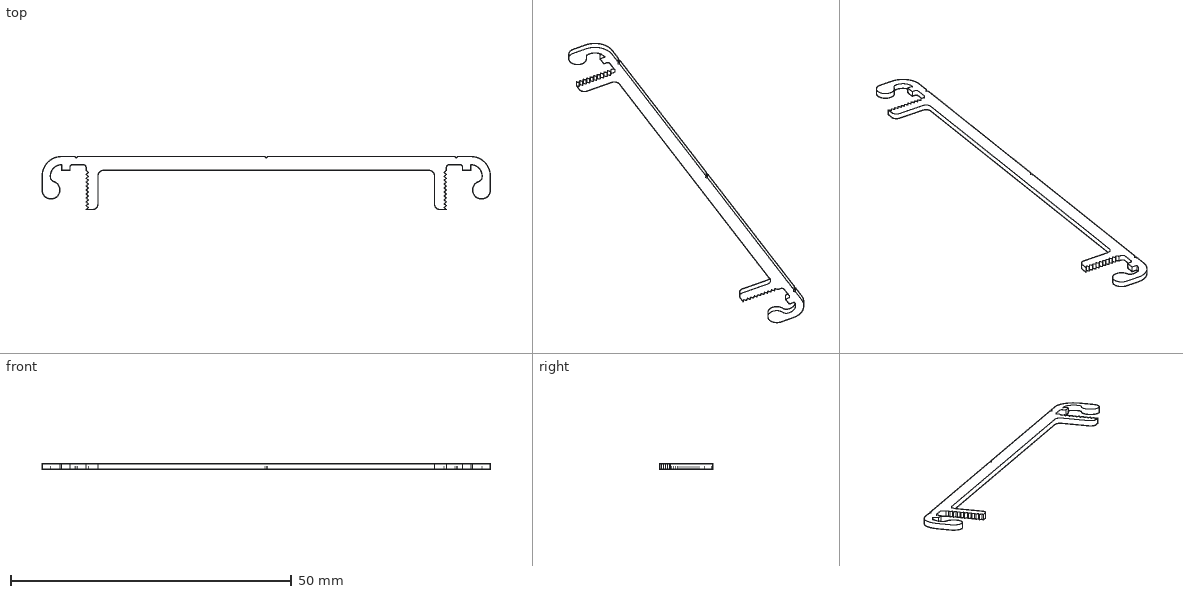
import cadquery as cq
import math

length = 80.0
depth = 9.5
thickness = 1.0
half_length = length / 2

web_wall = 2.5
hook_wall = 1.5

hook_outer_radius = 3.5
hook_inner_radius = hook_outer_radius - hook_wall
hook_centre_x = half_length - hook_outer_radius
bead_radius = 1.6
bead_tip_y = -7.6
bead_x = half_length - bead_radius
bead_y = bead_tip_y + bead_radius
valley_fillet = 0.8

rib_outer_x = hook_centre_x
rib_inner_x = 35.0
rib_fillet = 0.4

leg_inner_x = 30.0
leg_tip_x = 32.15
leg_root_fillet = 1.0
leg_end_fillet = 1.0
pocket_fillet = 0.5
tooth_pitch = 0.7
tooth_count = 10
tooth_height = 0.4
first_tooth_y = -depth + tooth_count * tooth_pitch

groove_positions = (-33.9, 0.0, 33.9)
groove_depth = 0.25
groove_half_width = 0.25

hook_reach = hook_inner_radius - valley_fillet
bead_reach = bead_radius + valley_fillet
centre_dx = bead_x - hook_centre_x
centre_dy = bead_y + hook_outer_radius
centre_gap = math.hypot(centre_dx, centre_dy)
along = (centre_gap**2 + hook_reach**2 - bead_reach**2) / (2 * centre_gap)
across = math.sqrt(hook_reach**2 - along**2)
valley_x = hook_centre_x + (along * centre_dx - across * centre_dy) / centre_gap
valley_y = -hook_outer_radius + (along * centre_dy + across * centre_dx) / centre_gap
hook_tangent_angle = math.degrees(math.atan2(valley_y + hook_outer_radius, valley_x - hook_centre_x))
bead_tangent_angle = math.degrees(math.atan2(valley_y - bead_y, valley_x - bead_x))
valley_middle_angle = (hook_tangent_angle + bead_tangent_angle - 180) / 2


def on_circle(centre_x, centre_y, radius, degrees):
    """Point of a circle at an angle measured from +X."""
    angle = math.radians(degrees)
    return (centre_x + radius * math.cos(angle), centre_y + radius * math.sin(angle))


def rounded_corner(path, corner, start_offset, end_offset, radius):
    """Draw up to a right-angled corner and round it; the offsets point away from the corner."""
    start = (corner[0] + start_offset[0] * radius, corner[1] + start_offset[1] * radius)
    end = (corner[0] + end_offset[0] * radius, corner[1] + end_offset[1] * radius)
    inset = radius * (1 - math.cos(math.radians(45)))
    middle = (
        corner[0] + (start_offset[0] + end_offset[0]) * inset,
        corner[1] + (start_offset[1] + end_offset[1]) * inset,
    )
    return path.lineTo(*start).threePointArc(middle, end)


def serrate(path):
    """Draw the triangular teeth down the outer face of the leg."""
    for index in range(tooth_count):
        tooth_y = first_tooth_y - index * tooth_pitch
        path = path.lineTo(leg_tip_x - tooth_height, tooth_y - tooth_pitch / 2)
        path = path.lineTo(leg_tip_x, tooth_y - tooth_pitch)
    return path


def half_profile():
    """The +X half of the profile, with the top of the web on y = 0."""
    left, right, up, down = (-1, 0), (1, 0), (0, 1), (0, -1)
    path = cq.Workplane("XY").moveTo(0, 0).lineTo(hook_centre_x, 0)

    path = path.threePointArc(
        on_circle(hook_centre_x, -hook_outer_radius, hook_outer_radius, 45),
        (half_length, -hook_outer_radius),
    )
    path = path.lineTo(half_length, bead_y)
    bead_tangent = on_circle(bead_x, bead_y, bead_radius, bead_tangent_angle)
    path = path.threePointArc(on_circle(bead_x, bead_y, bead_radius, 225), bead_tangent)
    path = path.threePointArc(
        on_circle(valley_x, valley_y, valley_fillet, valley_middle_angle),
        on_circle(hook_centre_x, -hook_outer_radius, hook_inner_radius, hook_tangent_angle),
    )
    path = path.threePointArc(
        on_circle(hook_centre_x, -hook_outer_radius, hook_inner_radius, 45),
        (rib_outer_x, -hook_wall),
    )

    path = path.lineTo(rib_outer_x, -web_wall)
    path = path.lineTo(rib_inner_x, -web_wall)
    path = rounded_corner(path, (rib_inner_x, -hook_wall), down, left, rib_fillet)

    path = rounded_corner(path, (leg_tip_x, -hook_wall), right, down, pocket_fillet)
    path = path.lineTo(leg_tip_x, first_tooth_y)
    path = serrate(path)
    path = rounded_corner(path, (leg_inner_x, -depth), right, up, leg_end_fillet)
    path = rounded_corner(path, (leg_inner_x, -web_wall), down, left, leg_root_fillet)
    return path.lineTo(0, -web_wall).close()


def marking_groove(x):
    """Cutter for one V groove in the outer face at position x."""
    return (
        cq.Workplane("XY")
        .moveTo(x - groove_half_width, 0)
        .lineTo(x, -groove_depth)
        .lineTo(x + groove_half_width, 0)
        .close()
        .extrude(thickness)
    )


right_half = half_profile().extrude(thickness)
result = right_half.union(right_half.mirror("YZ")).clean()
for groove_x in groove_positions:
    result = result.cut(marking_groove(groove_x))